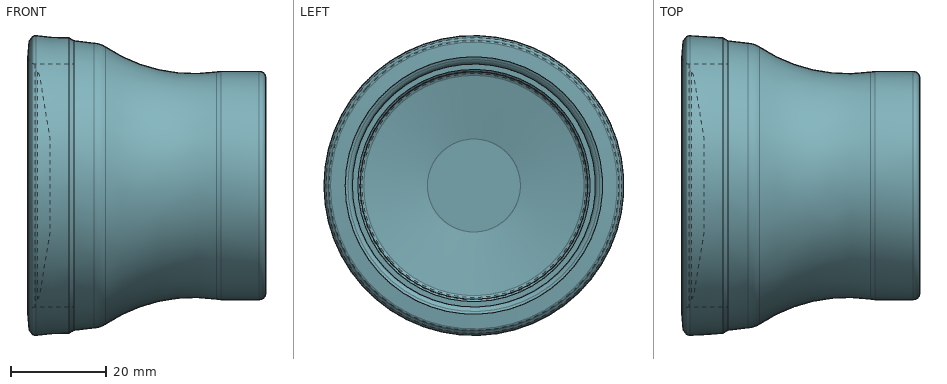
import cadquery as cq


length = 50.0
ring_radius = 31.5
hub_radius = 48.0 / 2

ring_back_x = 9.7
ring_bore_radius = 25.5
ring_back_radius = 30.4
rear_edge_x = 8.6
rear_edge_radius = 31.05
crown_x = 1.75
crown_mid = (1.2, 31.4)
bevel_end = (0.9, 31.1)
bevel_start = (0.5, 30.6)
bevel_mid = (0.3, 30.35)
face_outer_x = 0.25
face_outer_radius = 30.1
face_inner_radius = 27.0
lip_x = 0.25
lip_radius = 26.45
lip_mid = (0.7, 25.8)
seat_x = 1.5

collar_end_x = 13.9
collar_end_radius = 29.9
shoulder_x = 16.4
shoulder_radius = 29.1
shoulder_mid = (15.25, 29.65)
waist_mid = (25.65, 24.8)
neck_x = 39.6
neck_radius = 23.9
hub_start_x = 40.6
hub_edge_fillet = 1.4

rim_inner_radius = 24.4
step_round = 0.5
step_radius = rim_inner_radius - step_round
dish_x = seat_x + 1.0
dish_radius = 23.1
step_foot_mid = (seat_x + 0.8, 23.5)
step_top_mid = (seat_x + 0.2, 24.05)
dish_floor_radius = 9.75
dish_depth = 2.2


def revolve_about_x(profile):
    return profile.close().revolve(360, (0, 0, 0), (1, 0, 0))


def make_ring():
    """Bumper ring with a rounded front corner and a slightly tapered rim."""
    profile = (
        cq.Workplane("XY")
        .moveTo(seat_x, ring_bore_radius)
        .threePointArc(lip_mid, (lip_x, lip_radius))
        .lineTo(0, face_inner_radius)
        .lineTo(face_outer_x, face_outer_radius)
        .threePointArc(bevel_mid, bevel_start)
        .lineTo(*bevel_end)
        .threePointArc(crown_mid, (crown_x, ring_radius))
        .lineTo(rear_edge_x, rear_edge_radius)
        .lineTo(ring_back_x, ring_back_radius)
        .lineTo(ring_back_x, ring_bore_radius)
    )
    return revolve_about_x(profile)


def make_knob():
    """Waisted knob with a plug for the ring and a shallow dish in its front."""
    profile = (
        cq.Workplane("XY")
        .moveTo(dish_x + dish_depth, 0)
        .lineTo(dish_x + dish_depth, dish_floor_radius)
        .lineTo(dish_x, dish_radius)
        .threePointArc(step_foot_mid, (seat_x + step_round, step_radius))
        .threePointArc(step_top_mid, (seat_x, rim_inner_radius))
        .lineTo(seat_x, ring_bore_radius)
        .lineTo(ring_back_x, ring_bore_radius)
        .lineTo(ring_back_x, ring_back_radius)
        .lineTo(collar_end_x, collar_end_radius)
        .threePointArc(shoulder_mid, (shoulder_x, shoulder_radius))
        .threePointArc(waist_mid, (neck_x, neck_radius))
        .lineTo(hub_start_x, hub_radius)
        .lineTo(length, hub_radius)
        .lineTo(length, 0)
    )
    return revolve_about_x(profile).faces(">X").edges().fillet(hub_edge_fillet)


ring = make_ring()
knob = make_knob()

result = cq.Compound.makeCompound([ring.val(), knob.val()])